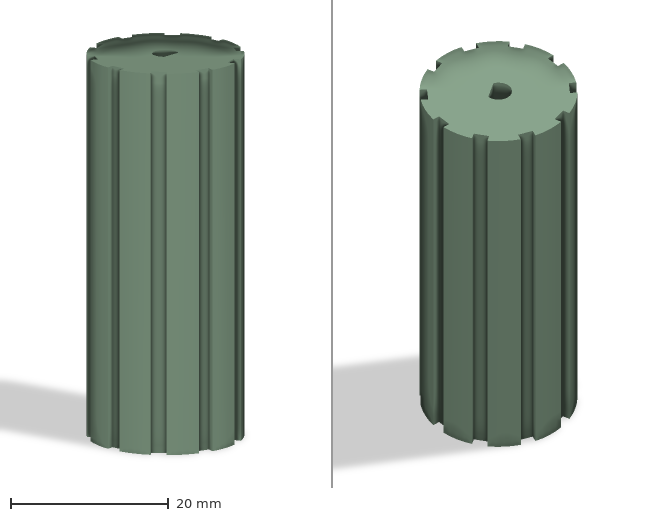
import cadquery as cq

length = 50.0
outer_radius = 10.0

groove_count = 10
groove_width = 2.0
groove_depth = 1.0

bore_radius = 1.7
bore_flat_offset = 1.0


def make_grooves():
    """Flat-bottomed bars to cut, evenly spaced around the axis."""
    floor_radius = outer_radius - groove_depth
    bar_height = 2 * groove_depth
    return (
        cq.Workplane("XY")
        .polarArray(floor_radius + bar_height / 2, 90, 360, groove_count)
        .rect(bar_height, groove_width)
        .extrude(length)
    )


def make_bore():
    """Round bore clipped by a plane to give the drive flat."""
    clip_width = bore_radius + bore_flat_offset
    clip = (
        cq.Workplane("XY")
        .center(bore_flat_offset - clip_width / 2, 0)
        .rect(clip_width, 2 * bore_radius)
        .extrude(length)
    )
    return cq.Workplane("XY").circle(bore_radius).extrude(length).intersect(clip)


body = cq.Workplane("XY").circle(outer_radius).extrude(length)
result = body.cut(make_grooves()).cut(make_bore())